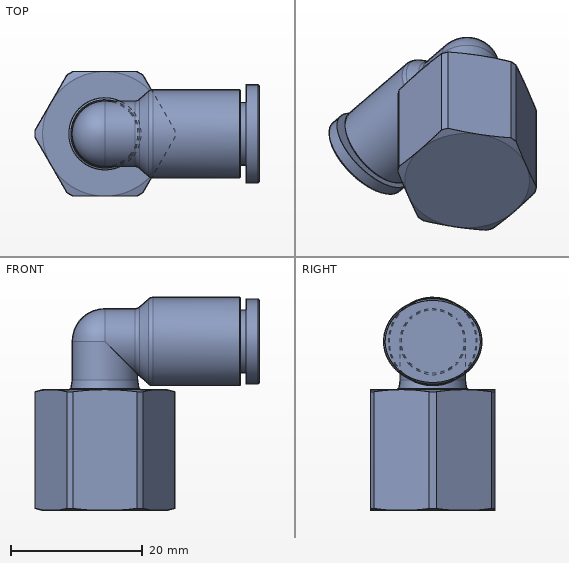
import cadquery as cq
import math

overall_length = 34.25

nut_height = 18.4
across_flats = 19.0
rounded_corner_diameter = 21.35
nut_chamfer_angle = 15.0

pipe_radius = 5.0
branch_axis_height = 25.75

foot_taper_top = 19.9
foot_taper_bottom = 18.6
foot_radius = 5.2
foot_flange_radius = 5.5

socket_radius = 6.75
shoulder_start = 4.95
shoulder_end = 6.95
shoulder_blend_radius = 1.0
socket_end = 20.65
socket_end_chamfer = 0.15

collar_neck_radius = 4.8
collar_start = 21.5
collar_end = overall_length - rounded_corner_diameter / 2
collar_width = 15.0
collar_height = 13.0
collar_chamfer = 0.25


def make_nut():
    """Hexagonal prism with turned corners and chamfered ends."""
    corner_diameter = across_flats / math.cos(math.pi / 6)
    hexagon = cq.Workplane("XY").polygon(6, corner_diameter).extrude(nut_height)

    flat_radius = across_flats / 2
    outer_radius = rounded_corner_diameter / 2
    chamfer_height = (outer_radius - flat_radius) * math.tan(math.radians(nut_chamfer_angle))
    turned_envelope = (
        cq.Workplane("XZ")
        .moveTo(0, 0)
        .lineTo(flat_radius, 0)
        .lineTo(outer_radius, chamfer_height)
        .lineTo(outer_radius, nut_height - chamfer_height)
        .lineTo(flat_radius, nut_height)
        .lineTo(0, nut_height)
        .close()
        .revolve(360, (0, 0, 0), (0, 1, 0))
    )
    return hexagon.intersect(turned_envelope)


def make_upright_pipe():
    """Vertical pipe with its flared foot, rising to the branch axis."""
    return (
        cq.Workplane("XZ")
        .moveTo(0, nut_height)
        .lineTo(foot_flange_radius, nut_height)
        .lineTo(foot_radius, foot_taper_bottom)
        .lineTo(pipe_radius, foot_taper_top)
        .lineTo(pipe_radius, branch_axis_height)
        .lineTo(0, branch_axis_height)
        .close()
        .revolve(360, (0, 0, 0), (0, 1, 0))
    )


def make_elbow_corner():
    """Ball that closes the outside of the bend."""
    return cq.Workplane("XY").sphere(pipe_radius).translate((0, 0, branch_axis_height))


def make_branch():
    """Horizontal pipe, conical shoulder, tube socket and collar neck, turned about the branch axis."""
    shoulder_angle = math.atan2(socket_radius - pipe_radius, shoulder_end - shoulder_start)
    blend_length = shoulder_blend_radius * math.tan(shoulder_angle / 2)
    blend_run = blend_length * math.cos(shoulder_angle)
    blend_rise = blend_length * math.sin(shoulder_angle)
    corner_gap = shoulder_blend_radius * (1 / math.cos(shoulder_angle / 2) - 1)
    gap_run = corner_gap * math.sin(shoulder_angle / 2)
    gap_rise = corner_gap * math.cos(shoulder_angle / 2)

    turned = (
        cq.Workplane("XY")
        .moveTo(0, 0)
        .lineTo(0, pipe_radius)
        .lineTo(shoulder_start - blend_length, pipe_radius)
        .threePointArc(
            (shoulder_start - gap_run, pipe_radius + gap_rise),
            (shoulder_start + blend_run, pipe_radius + blend_rise),
        )
        .lineTo(shoulder_end - blend_run, socket_radius - blend_rise)
        .threePointArc(
            (shoulder_end + gap_run, socket_radius - gap_rise),
            (shoulder_end + blend_length, socket_radius),
        )
        .lineTo(socket_end - socket_end_chamfer, socket_radius)
        .lineTo(socket_end, socket_radius - socket_end_chamfer)
        .lineTo(socket_end, collar_neck_radius)
        .lineTo(collar_start, collar_neck_radius)
        .lineTo(collar_start, 0)
        .close()
        .revolve(360, (0, 0, 0), (1, 0, 0))
    )
    return turned.translate((0, 0, branch_axis_height))


def make_collar():
    """Oval release collar with a chamfered outer rim."""
    return (
        cq.Workplane("YZ", origin=(collar_start, 0, branch_axis_height))
        .ellipse(collar_width / 2, collar_height / 2)
        .extrude(collar_end - collar_start)
        .faces(">X")
        .chamfer(collar_chamfer)
    )


result = (
    make_nut()
    .union(make_upright_pipe())
    .union(make_elbow_corner())
    .union(make_branch())
    .union(make_collar())
)